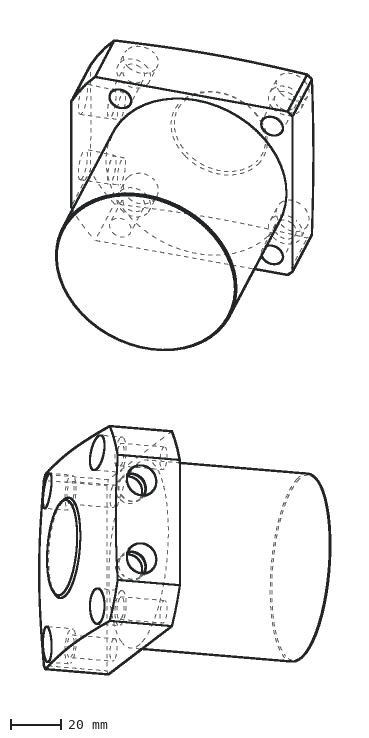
import cadquery as cq

barrel_diameter = 75.0
barrel_length = 68.0
barrel_chamfer = 0.5

flange_half_height = 40.0
flange_right = 40.0
flange_left = 52.0
flange_corner_radius = 58.0
flange_right_chamfer = 2.0
flange_edge_thickness = 26.0

cone_height = 5.0
pad_base_radius = 20.0
pad_height = 1.0
pad_chamfer = 1.0

mount_pitch = 63.0
mount_hole_diameter = 9.0
counterbore_diameter = 14.0
counterbore_floor_height = 18.0

port_spacing = 32.0
port_height = 16.0
port_mouth_diameter = 12.3
port_taper = 1 / 16
port_taper_depth = 12.0
port_bore_diameter = 11.1
port_depth = 16.0

rim_y = barrel_length + flange_edge_thickness
pad_base_y = rim_y + cone_height
back_y = pad_base_y + pad_height


def y_cylinder(x, z, diameter, y_start, y_end):
    """Cylinder parallel to Y between two Y positions."""
    start = cq.Vector(x, y_start, z)
    cylinder = cq.Solid.makeCylinder(diameter / 2, y_end - y_start, start, cq.Vector(0, 1, 0))
    return cq.Workplane(cylinder)


def make_barrel():
    barrel = y_cylinder(0, 0, barrel_diameter, 0, barrel_length)
    return barrel.faces("<Y").chamfer(barrel_chamfer)


def make_flange_block():
    """Prism with square left corners and chamfered right corners."""
    width = flange_left + flange_right
    block = (
        cq.Workplane("XY")
        .box(width, back_y - barrel_length, 2 * flange_half_height, centered=(False, False, True))
        .translate((-flange_left, barrel_length, 0))
    )
    return block.edges("|Y and >X").chamfer(flange_right_chamfer)


def make_turned_blank():
    """Turned blank whose rim rounds the left corners and whose back is conical."""
    profile = [
        (0, barrel_length),
        (flange_corner_radius, barrel_length),
        (flange_corner_radius, rim_y),
        (pad_base_radius, pad_base_y),
        (pad_base_radius - pad_chamfer, back_y),
        (0, back_y),
    ]
    return cq.Workplane("XY").polyline(profile).close().revolve(360, (0, 0, 0), (0, 1, 0))


def cut_mounting_holes(body):
    floor_y = barrel_length + counterbore_floor_height
    for x in (-mount_pitch / 2, mount_pitch / 2):
        for z in (-mount_pitch / 2, mount_pitch / 2):
            body = body.cut(y_cylinder(x, z, mount_hole_diameter, barrel_length, back_y))
            body = body.cut(y_cylinder(x, z, counterbore_diameter, floor_y, back_y))
    return body


def make_port():
    """Blind pipe port: a tapered mouth that steps down to a straight bore."""
    mouth_radius = port_mouth_diameter / 2
    taper_end_radius = (port_mouth_diameter - port_taper * port_taper_depth) / 2
    bore_radius = port_bore_diameter / 2
    profile = [
        (0, 0),
        (0, mouth_radius),
        (port_taper_depth, taper_end_radius),
        (port_taper_depth, bore_radius),
        (port_depth, bore_radius),
        (port_depth, 0),
    ]
    port = cq.Workplane("XY").polyline(profile).close().revolve(360, (0, 0, 0), (1, 0, 0))
    return port.translate((-flange_left, barrel_length + port_height, 0))


def cut_ports(body):
    port = make_port()
    for z in (-port_spacing / 2, port_spacing / 2):
        body = body.cut(port.translate((0, 0, z)))
    return body


flange = make_flange_block().intersect(make_turned_blank())
flange = cut_ports(cut_mounting_holes(flange))
result = flange.union(make_barrel())